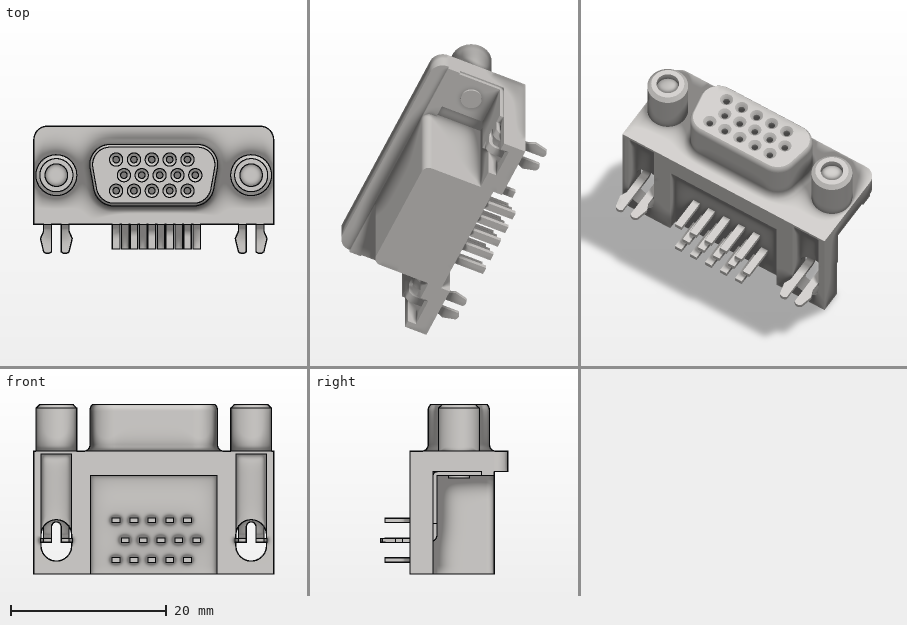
import cadquery as cq
import math

overall_width = 30.8
overall_depth = 16.35
half_depth = 6.3
housing_height = 15.8
flange_thickness = 2.65
flange_corner_radius = 1.75
rise = 6.0

shell_half_height = 3.95
shell_corner_radius = 2.6
shell_top_corner_x = 5.6
shell_slant = math.radians(10)
shell_blend = 0.8
shell_lip_height = 0.8
shell_lip_inset = 0.35

jackscrew_x = 12.5
jackscrew_diameter = 5.25
jackscrew_chamfer = 0.5
jackscrew_bore = 2.9
jackscrew_bore_depth = 1.0
rivet_diameter = 2.7
rivet_drop = 0.3

contact_pitch = 2.29
contacts_per_row = 5
socket_row_pitch = 2.0
socket_mouth_diameter = 1.7
socket_bore_diameter = 0.85
socket_cone_depth = 0.45
socket_depth = 3.0
outer_row_offset = -0.25
middle_socket_offset = 0.75
middle_pin_offset = 0.93

pin_width = 1.0
pin_thickness = 0.6
pin_tip_y = -9.5
pin_middle_z = -11.43
pin_row_pitch = 2.54

front_wall_thickness = 3.0
body_half_width = 8.1
body_back_y = 4.55
body_corner_radius = 1.0
rib_front_y = 2.9
panel_top_z = -3.1
panel_depth = 1.2

slot_width = 3.9
slot_top_z = -0.4
slot_bottom_z = -14.1
slot_depth = 1.9
window_top_z = -8.8

sheet = 0.5
bracket_width = 5.4
bracket_bend_radius = 0.5
bracket_shoulder_z = -9.3
tongue_width = 3.3
tongue_gap = 1.2
tongue_gap_top_z = -9.1
foot_bottom_z = -11.7
foot_bend_radius = 1.0
lock_bulge_half_width = 2.05
lock_bulge_start_y = -7.2
lock_bulge_peak_y = -8.15
lock_taper_end_y = -9.8
lock_tip_y = half_depth - overall_depth

front_y = -half_depth
wall_back_y = front_y + front_wall_thickness
panel_y = front_y + panel_depth
bracket_top_z = -flange_thickness
bracket_underside_z = bracket_top_z - sheet
bracket_back_y = wall_back_y + sheet


def box(x_min, x_max, y_min, y_max, z_min, z_max):
    """Axis-aligned box given by its limits."""
    size = (x_max - x_min, y_max - y_min, z_max - z_min)
    return cq.Workplane("XY").box(*size, centered=False).translate((x_min, y_min, z_min))


def centered_box(center_x, width, y_min, y_max, z_min, z_max):
    """Box placed symmetrically about center_x."""
    return box(center_x - width / 2, center_x + width / 2, y_min, y_max, z_min, z_max)


def make_housing():
    """Flange, front wall, rear ribs and the central contact body."""
    flange = centered_box(0, overall_width, front_y, half_depth, -flange_thickness, 0)
    flange = flange.edges("|Z and >Y").fillet(flange_corner_radius)
    wall = centered_box(0, overall_width, front_y, wall_back_y, -housing_height, 0)
    rib = centered_box(0, overall_width, rib_front_y, body_back_y, bracket_underside_z, 0)
    body = centered_box(0, 2 * body_half_width, front_y, body_back_y, -housing_height, 0)
    body = body.edges("|Z and >Y").fillet(body_corner_radius)
    return flange.union(wall).union(rib).union(body)


def shell_outline(plane):
    """Rounded D outline, wide side toward +Y, narrowing by shell_slant per side."""
    radius = shell_corner_radius
    center_y = shell_half_height - radius
    wide_x = shell_top_corner_x
    narrow_x = wide_x - 2 * center_y * math.tan(shell_slant)

    def on_arc(center_x, arc_center_y, angle):
        return (center_x + radius * math.cos(angle), arc_center_y + radius * math.sin(angle))

    def mirrored(point):
        return (-point[0], point[1])

    quarter = math.pi / 2
    wide_start = on_arc(wide_x, center_y, -shell_slant)
    wide_middle = on_arc(wide_x, center_y, (quarter - shell_slant) / 2)
    wide_end = on_arc(wide_x, center_y, quarter)
    narrow_start = on_arc(narrow_x, -center_y, -quarter)
    narrow_middle = on_arc(narrow_x, -center_y, -(quarter + shell_slant) / 2)
    narrow_end = on_arc(narrow_x, -center_y, -shell_slant)
    return (
        plane.moveTo(*narrow_start)
        .threePointArc(narrow_middle, narrow_end)
        .lineTo(*wide_start)
        .threePointArc(wide_middle, wide_end)
        .lineTo(*mirrored(wide_end))
        .threePointArc(mirrored(wide_middle), mirrored(wide_start))
        .lineTo(*mirrored(narrow_end))
        .threePointArc(mirrored(narrow_middle), mirrored(narrow_start))
        .close()
    )


def add_shell(part):
    """Connector shell with a rounded rim and a fillet at the flange."""
    rim_radius = (shell_lip_height**2 + shell_lip_inset**2) / (2 * shell_lip_inset)
    full_round_height = rise - shell_lip_height + rim_radius
    shell = shell_outline(cq.Workplane("XY")).extrude(full_round_height)
    shell = shell.edges(">Z").fillet(rim_radius)
    shell = shell.intersect(
        centered_box(0, overall_width, -half_depth, half_depth, 0, rise)
    )
    part = part.union(shell)
    reach_x = shell_top_corner_x + shell_corner_radius + shell_blend
    reach_y = shell_half_height + shell_blend
    root = cq.selectors.BoxSelector(
        (-reach_x, -reach_y, -shell_blend), (reach_x, reach_y, shell_blend)
    )
    return part.edges(root).fillet(shell_blend)


def contact_row_xs(row_offset):
    """X positions of the contacts in a row centred on row_offset."""
    middle = (contacts_per_row - 1) / 2
    return [row_offset + (i - middle) * contact_pitch for i in range(contacts_per_row)]


def cut_sockets(part):
    """Three rows of countersunk blind contact sockets in the shell face."""
    mouth_radius = socket_mouth_diameter / 2
    bore_radius = socket_bore_diameter / 2
    socket = (
        cq.Workplane("XZ")
        .polyline([
            (0, 0),
            (mouth_radius, 0),
            (bore_radius, -socket_cone_depth),
            (bore_radius, -socket_depth),
            (0, -socket_depth),
        ])
        .close()
        .revolve(360, (0, 0), (0, 1))
    )
    for row in (-1, 0, 1):
        row_offset = outer_row_offset if row else middle_socket_offset
        for x in contact_row_xs(row_offset):
            part = part.cut(socket.translate((x, row * socket_row_pitch, rise)))
    return part


def add_pins(part):
    """Three rows of straight solder pins leaving the recessed panel."""
    for row in (-1, 0, 1):
        row_offset = outer_row_offset if row else middle_pin_offset
        z_min = pin_middle_z + row * pin_row_pitch - pin_thickness / 2
        z_max = z_min + pin_thickness
        for x in contact_row_xs(row_offset):
            pin = centered_box(x, pin_width, pin_tip_y, panel_y, z_min, z_max)
            part = part.union(pin)
    return part


def cut_panel(part):
    """Shallow recess in the front wall, open at the bottom."""
    return part.cut(
        centered_box(0, 2 * body_half_width, front_y, panel_y, -housing_height, panel_top_z)
    )


def cut_lock_slot(part, x):
    """Round-bottomed recess in the front wall; a round-topped notch behind it opens downward."""
    radius = slot_width / 2
    recess_floor_y = front_y + slot_depth

    def disc(y_min, y_max, z):
        return cq.Workplane("XZ", origin=(x, y_max, z)).circle(radius).extrude(y_max - y_min)

    recess_round_z = slot_bottom_z + radius
    recess = centered_box(x, slot_width, front_y, recess_floor_y, recess_round_z, slot_top_z)
    recess = recess.union(disc(front_y, recess_floor_y, recess_round_z))
    notch_round_z = window_top_z - radius
    notch = centered_box(x, slot_width, recess_floor_y, wall_back_y, -housing_height, notch_round_z)
    notch = notch.union(disc(recess_floor_y, wall_back_y, notch_round_z))
    return part.cut(recess).cut(notch)


def make_lock_tongue():
    """Narrow sheet tongue bending forward into the board lock, centred on X = 0."""
    outer = foot_bend_radius
    inner = outer - sheet
    bend_y = bracket_back_y - outer
    bend_z = foot_bottom_z + outer
    diagonal = math.sqrt(0.5)
    profile = (
        cq.Workplane("YZ")
        .moveTo(wall_back_y, bracket_shoulder_z)
        .lineTo(bracket_back_y, bracket_shoulder_z)
        .lineTo(bracket_back_y, bend_z)
        .threePointArc(
            (bend_y + outer * diagonal, bend_z - outer * diagonal), (bend_y, foot_bottom_z)
        )
        .lineTo(lock_tip_y, foot_bottom_z)
        .lineTo(lock_tip_y, foot_bottom_z + sheet)
        .lineTo(bend_y, foot_bottom_z + sheet)
        .threePointArc(
            (bend_y + inner * diagonal, bend_z - inner * diagonal), (wall_back_y, bend_z)
        )
        .close()
    )
    strip = profile.extrude(lock_bulge_half_width, both=True)
    edge_x = tongue_width / 2
    gap_x = tongue_gap / 2
    leg = (
        cq.Workplane("XY", origin=(0, 0, -housing_height))
        .moveTo(0, bracket_back_y)
        .lineTo(edge_x, bracket_back_y)
        .lineTo(edge_x, lock_bulge_start_y)
        .lineTo(lock_bulge_half_width, lock_bulge_peak_y)
        .lineTo(edge_x, lock_taper_end_y)
        .threePointArc(((edge_x + gap_x) / 2, lock_tip_y), (gap_x, lock_taper_end_y))
        .lineTo(0, lock_taper_end_y)
        .close()
        .extrude(housing_height)
    )
    return strip.intersect(leg.union(leg.mirror("YZ")))


def make_bracket(x):
    """L-shaped sheet bracket under the flange with its slotted board lock."""
    plate = centered_box(0, bracket_width, wall_back_y, rib_front_y, bracket_underside_z, bracket_top_z)
    upright = centered_box(
        0, bracket_width, wall_back_y, bracket_back_y, bracket_shoulder_z, bracket_top_z
    )
    bracket = plate.union(upright).edges("|X and <Y and >Z").fillet(bracket_bend_radius)
    bracket = bracket.union(make_lock_tongue())
    gap_round_z = tongue_gap_top_z - tongue_gap / 2
    gap = centered_box(0, tongue_gap, lock_tip_y, bracket_back_y, -housing_height, gap_round_z)
    gap_top = (
        cq.Workplane("XZ", origin=(0, bracket_back_y, gap_round_z))
        .circle(tongue_gap / 2)
        .extrude(sheet)
    )
    return bracket.cut(gap).cut(gap_top).translate((x, 0, 0))


def make_jackscrew(x):
    """Hollow-topped jackscrew with its rivet end below the bracket."""
    radius = jackscrew_diameter / 2
    bore_radius = jackscrew_bore / 2
    rivet_radius = rivet_diameter / 2
    rivet_z = bracket_underside_z - rivet_drop
    return (
        cq.Workplane("XZ")
        .polyline([
            (0, rivet_z),
            (rivet_radius, rivet_z),
            (rivet_radius, 0),
            (radius, 0),
            (radius, rise - jackscrew_chamfer),
            (radius - jackscrew_chamfer, rise),
            (bore_radius, rise),
            (bore_radius, rise - jackscrew_bore_depth),
            (0, rise - jackscrew_bore_depth),
        ])
        .close()
        .revolve(360, (0, 0), (0, 1))
        .translate((x, 0, 0))
    )


part = add_shell(make_housing())
part = cut_sockets(part)
part = cut_panel(part)
for lock_x in (-jackscrew_x, jackscrew_x):
    part = cut_lock_slot(part, lock_x)
    part = part.union(make_bracket(lock_x))
    part = part.union(make_jackscrew(lock_x))
result = add_pins(part)